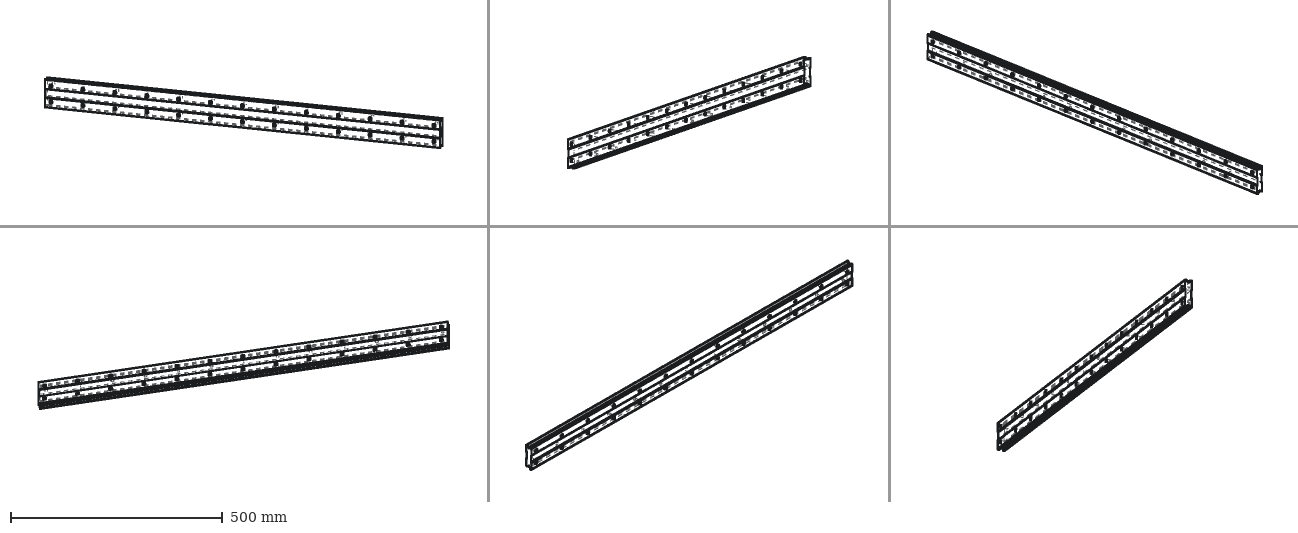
import cadquery as cq
import math

length = 990.0
thickness = 19.0
height = 69.0
half_thickness = thickness / 2
half_height = height / 2

waist_height = 20.0
waist_depth = 1.5

groove_depth = 4.8
floor_front = -3.2
wall_run = 2.7

lip_chamfer = 1.0

bead_radius = 4.5
bead_center = 7.7
bead_drop = 0.2
bead_turn = math.radians(54)
bead_bevel = 2.0

hole_diameter = 7.0
hole_count = 13
end_margin = 15.0
row_spacing = 40.0
hole_pitch = (length - 2 * end_margin) / (hole_count - 1)


def upper_half():
    """Section above the middle plane, drawn from the +Y face over the top to the -Y face."""
    waist_y = half_thickness - waist_depth
    waist_z = waist_height / 2
    shoulder_z = waist_z + waist_depth
    floor_z = half_height - groove_depth

    crest_z = half_height - bead_drop
    bead_z = crest_z - bead_radius

    def on_bead(angle):
        """Point on the bead's arc, turned from the crest toward the groove."""
        return (
            bead_center - bead_radius * math.sin(angle),
            bead_z + bead_radius * math.cos(angle),
        )

    flank_y, flank_z = on_bead(bead_turn)
    floor_back = flank_y - (flank_z - floor_z)

    return (
        cq.Workplane("YZ")
        .moveTo(waist_y, 0)
        .lineTo(waist_y, waist_z)
        .lineTo(half_thickness, shoulder_z)
        .lineTo(half_thickness, crest_z - bead_bevel)
        .lineTo(bead_center, crest_z)
        .threePointArc(on_bead(bead_turn / 2), (flank_y, flank_z))
        .lineTo(floor_back, floor_z)
        .lineTo(floor_front, floor_z)
        .lineTo(floor_front - wall_run, half_height)
        .lineTo(lip_chamfer - half_thickness, half_height)
        .lineTo(-half_thickness, half_height - lip_chamfer)
        .lineTo(-half_thickness, shoulder_z)
        .lineTo(-waist_y, waist_z)
        .lineTo(-waist_y, 0)
        .close()
        .extrude(length / 2, both=True)
    )


def mounting_holes():
    return (
        cq.Workplane("XZ")
        .rarray(hole_pitch, row_spacing, hole_count, 2)
        .circle(hole_diameter / 2)
        .extrude(thickness, both=True)
    )


upper = upper_half()
rail = upper.union(upper.mirror("XY"), clean=True)
result = rail.cut(mounting_holes())